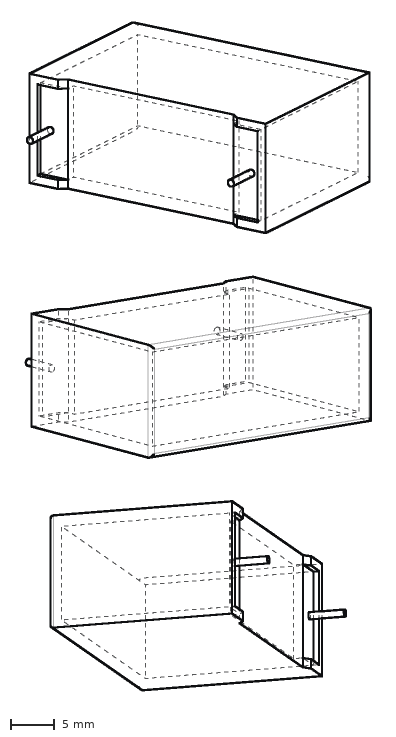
import cadquery as cq

case_width = 32.3
case_depth = 22.05
case_height = 13.2
rear_radius = 0.52

foot_width = 3.95
relief_slope_width = 0.9
relief_depth = 0.7

wall = 1.1

pin_diameter = 0.85
pin_length = 3.55
pin_spacing = 27.45

half_width = case_width / 2
foot_edge = half_width - foot_width
relief_edge = foot_edge - relief_slope_width
pin_positions = (-pin_spacing / 2, pin_spacing / 2)


def make_case():
    """Block with a rounded rear rim, a front relief and a cavity."""
    case = (
        cq.Workplane("XY")
        .box(case_width, case_depth, case_height, centered=(True, False, True))
        .faces(">Y")
        .fillet(rear_radius)
    )
    relief = (
        cq.Workplane("XY")
        .polyline([
            (-foot_edge, 0),
            (foot_edge, 0),
            (relief_edge, relief_depth),
            (-relief_edge, relief_depth),
        ])
        .close()
        .extrude(case_height / 2, both=True)
    )
    case = case.cut(relief)

    openings = make_cavity_block(0).cut(make_bridge())
    return case.cut(openings)


def make_cavity_block(front):
    """Block that fills the inside of the case from Y = front to the rear wall."""
    return (
        cq.Workplane("XY", origin=(0, front, 0))
        .box(
            case_width - 2 * wall,
            case_depth - wall - front,
            case_height - 2 * wall,
            centered=(True, False, True),
        )
    )


def make_bridge():
    """Part of the case that crosses the open front between the two feet."""
    return (
        cq.Workplane("XY")
        .box(2 * relief_edge, relief_depth + wall, case_height, centered=(True, False, True))
    )


def make_filling():
    """Potting inside the case, flush with the bridge face and passing behind the bridge."""
    return make_cavity_block(relief_depth).cut(make_bridge())


def make_pin(x):
    """Round pin standing on the filling and pointing toward -Y."""
    return (
        cq.Workplane("XZ", origin=(x, relief_depth, 0))
        .circle(pin_diameter / 2)
        .extrude(relief_depth + pin_length)
    )


case = make_case()
filling = make_filling()
pins = [make_pin(x) for x in pin_positions]

result = cq.Compound.makeCompound([case.val(), filling.val(), *[pin.val() for pin in pins]])